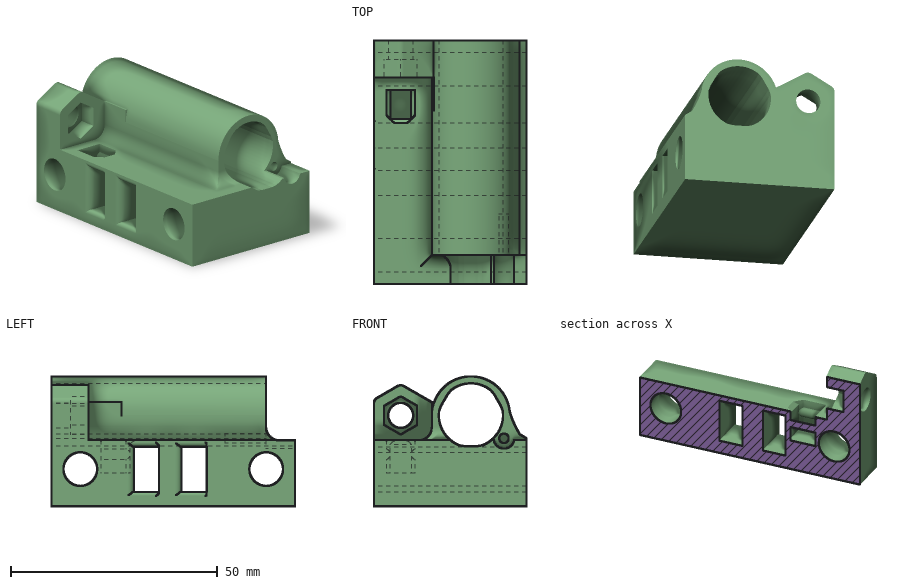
import cadquery as cq
import math

WIDTH = 37.0
LENGTH = 59.0
BASE_HEIGHT = 16.0

TUBE_X = 23.5
AXIS_Z = 22.0
TUBE_RADIUS = 9.47
TUBE_FRONT_Y = 7.0
TUBE_LEFT_X = TUBE_X - TUBE_RADIUS
BORE_RADIUS = 7.75

RIB_FLAT_DISTANCE = 7.41
RIB_FLAT_HALF = 1.6
RIB_OUTER_HALF = 2.9
RIB_ANGLES = (0, 120, 240)

SKIRT_RADIUS = 3.1

WEB_START_ANGLE = math.radians(5)
WEB_MID_X = 33.85
WEB_MID_Z = 20.3
WEB_END_X = 35.3
WEB_END_Z = 17.5
WEB_EDGE_Z = 16.4

NUT_X = 6.5
NUT_BLOCK_START_Y = 50.0
NUT_BLOCK_APEX_RISE = 7.55
NUT_BLOCK_ROUNDING = 1.5
HEX_TURN = 30.0
ROOF_SLOPE = math.tan(math.radians(HEX_TURN))
NUT_CIRCUMDIAMETER = 9.26
NUT_DEPTH = 4.4
ROD_DIAMETER = 6.0
FILL_START_Y = 42.0

PIN_X = 31.5
PIN_Z = 16.45
PIN_DIAMETER = 2.3
PIN_DEPTH = 10.0
PIN_GROOVE_RADIUS = 2.5

CROSS_HOLE_DIAMETER = 8.1
CROSS_HOLE_Z = 9.0
CROSS_HOLE_INSET = 7.0
WINDOW_BOTTOM = 3.5
WINDOW_TOP = 14.4
WINDOW_SIDE_ROUNDING = 1.5
WINDOW_END_ROUNDING = 1.0
WINDOWS = ((33.0, 39.0, 0.65), (21.4, 27.5, 0.25))

POCKET_LEFT = 3.05
POCKET_RIGHT = 10.0
POCKET_FRONT = 39.0
POCKET_BACK = 47.0
POCKET_DEPTH = 8.0
POCKET_CORNER_CUT = 1.9
POCKET_FRONT_CHAMFER = 1.0
POCKET_BULGE = 0.95
POCKET_BULGE_TOP_DEPTH = 2.1
POCKET_BULGE_HEIGHT = 2.6

RIB_OVERLAP = 1.0


def along_y(profile, y_start, y_end):
    """Extrude a closed XZ profile, drawn on the XZ plane, between two Y positions."""
    return profile.extrude(-(y_end - y_start)).translate((0, y_start, 0))


def cylinder_y(x, z, radius, y_start, y_end):
    return along_y(cq.Workplane("XZ").center(x, z).circle(radius), y_start, y_end)


def cylinder_x(y, z, diameter):
    return cq.Workplane("YZ").center(y, z).circle(diameter / 2).extrude(WIDTH)


def box(x0, x1, y0, y1, z0, z1):
    return cq.Workplane("XY").box(x1 - x0, y1 - y0, z1 - z0, centered=False).translate((x0, y0, z0))


def skirt_profile(plane, foot, far):
    """Upright wall on the base with a concave quarter round running out at its foot."""
    wall = foot + SKIRT_RADIUS
    arc_reach = SKIRT_RADIUS * math.sqrt(0.5)
    return (
        cq.Workplane(plane)
        .moveTo(foot, 0)
        .lineTo(foot, BASE_HEIGHT)
        .threePointArc(
            (foot + arc_reach, BASE_HEIGHT + SKIRT_RADIUS - arc_reach),
            (wall, BASE_HEIGHT + SKIRT_RADIUS),
        )
        .lineTo(wall, AXIS_Z)
        .lineTo(far, AXIS_Z)
        .lineTo(far, 0)
        .close()
    )


def make_skirt():
    """Left and front skirts, mitred where they meet."""
    left = along_y(skirt_profile("XZ", TUBE_LEFT_X - SKIRT_RADIUS, TUBE_X), 0, LENGTH)
    front = skirt_profile("YZ", TUBE_FRONT_Y - SKIRT_RADIUS, LENGTH).extrude(WIDTH)
    return left.intersect(front)


def make_web():
    start = (
        TUBE_X + TUBE_RADIUS * math.cos(WEB_START_ANGLE),
        AXIS_Z + TUBE_RADIUS * math.sin(WEB_START_ANGLE),
    )
    profile = (
        cq.Workplane("XZ")
        .moveTo(TUBE_X, 0)
        .lineTo(TUBE_X, start[1])
        .lineTo(*start)
        .threePointArc((WEB_MID_X, WEB_MID_Z), (WEB_END_X, WEB_END_Z))
        .lineTo(WIDTH, WEB_EDGE_Z)
        .lineTo(WIDTH, 0)
        .close()
    )
    return along_y(profile, TUBE_FRONT_Y, LENGTH)


def make_nut_block():
    """Roofed block running into the tube, with a flat-topped fill in front of it."""
    apex_z = AXIS_Z + NUT_BLOCK_APEX_RISE
    left_z = apex_z - NUT_X * ROOF_SLOPE
    fill_z = apex_z - (TUBE_LEFT_X - NUT_X) * ROOF_SLOPE
    buried_z = apex_z - (TUBE_X - NUT_X) * ROOF_SLOPE
    outline = [(0, 0), (0, left_z), (NUT_X, apex_z), (TUBE_X, buried_z), (TUBE_X, 0)]
    block = along_y(cq.Workplane("XZ").polyline(outline).close(), NUT_BLOCK_START_Y, LENGTH)
    for x, z in ((0, left_z), (NUT_X, apex_z)):
        edge = cq.selectors.NearestToPointSelector((x, (NUT_BLOCK_START_Y + LENGTH) / 2, z))
        block = block.edges(edge).fillet(NUT_BLOCK_ROUNDING)
    fill = box(TUBE_LEFT_X, TUBE_X, FILL_START_Y, NUT_BLOCK_START_Y, 0, fill_z)
    return block.union(fill)


def make_rib(angle):
    """Flat-topped filler between the bore wall and a bearing flat, turned about the bore axis."""
    foot = math.sqrt(BORE_RADIUS**2 - RIB_OUTER_HALF**2)
    buried = BORE_RADIUS + RIB_OVERLAP
    outline = [
        (-RIB_OUTER_HALF, -foot),
        (-RIB_FLAT_HALF, -RIB_FLAT_DISTANCE),
        (RIB_FLAT_HALF, -RIB_FLAT_DISTANCE),
        (RIB_OUTER_HALF, -foot),
        (RIB_OUTER_HALF, -buried),
        (-RIB_OUTER_HALF, -buried),
    ]
    rib = along_y(cq.Workplane("XZ").polyline(outline).close(), 0, LENGTH)
    return rib.rotate((0, 0, 0), (0, 1, 0), angle).translate((TUBE_X, 0, AXIS_Z))


def make_bore():
    bore = cylinder_y(TUBE_X, AXIS_Z, BORE_RADIUS, 0, LENGTH)
    for angle in RIB_ANGLES:
        bore = bore.cut(make_rib(angle))
    return bore


def rounded_mouth(plane, low, high, low_rounding, high_rounding):
    """Slot outline along X whose mouth at x = 0 widens with convex quarter rounds."""
    arc_part = 1 - math.sqrt(0.5)
    outline = cq.Workplane(plane).moveTo(WIDTH, low)
    if low_rounding:
        outline = outline.lineTo(low_rounding, low).threePointArc(
            (low_rounding * arc_part, low - low_rounding * arc_part), (0, low - low_rounding)
        )
    else:
        outline = outline.lineTo(0, low)
    outline = outline.lineTo(0, high + high_rounding).threePointArc(
        (high_rounding * arc_part, high + high_rounding * arc_part), (high_rounding, high)
    )
    return outline.lineTo(WIDTH, high).close()


def make_window(front, back, corner_cut):
    plan = rounded_mouth("XY", front, back, 0, WINDOW_SIDE_ROUNDING).extrude(BASE_HEIGHT)
    side = along_y(
        rounded_mouth("XZ", WINDOW_BOTTOM, WINDOW_TOP, WINDOW_END_ROUNDING, WINDOW_END_ROUNDING),
        0,
        LENGTH,
    )
    mouth = box(
        0,
        WIDTH,
        front,
        back + WINDOW_SIDE_ROUNDING,
        WINDOW_BOTTOM - WINDOW_END_ROUNDING,
        WINDOW_TOP + WINDOW_END_ROUNDING,
    )
    mouth = mouth.edges("|X and <Y").chamfer(corner_cut)
    return plan.intersect(side).intersect(mouth)


def make_pocket():
    """Pocket with cut front corners, a chamfered front edge and a bulge along each side wall."""
    floor = BASE_HEIGHT - POCKET_DEPTH
    pocket = box(POCKET_LEFT, POCKET_RIGHT, POCKET_FRONT, POCKET_BACK, floor, BASE_HEIGHT)
    pocket = pocket.edges("|Z and <Y").chamfer(POCKET_CORNER_CUT)

    ledge_y = POCKET_FRONT + POCKET_FRONT_CHAMFER
    slope = [
        (POCKET_FRONT, BASE_HEIGHT),
        (ledge_y, BASE_HEIGHT - POCKET_FRONT_CHAMFER),
        (ledge_y, floor),
        (POCKET_FRONT, floor),
    ]
    pocket = pocket.cut(cq.Workplane("YZ").polyline(slope).close().extrude(WIDTH))

    bulge_top = BASE_HEIGHT - POCKET_BULGE_TOP_DEPTH
    bulge_bottom = bulge_top - POCKET_BULGE_HEIGHT
    bulge_middle = (bulge_top + bulge_bottom) / 2
    for wall, inward in ((POCKET_LEFT, 1), (POCKET_RIGHT, -1)):
        bulge = (
            cq.Workplane("XZ")
            .moveTo(wall, bulge_top)
            .threePointArc((wall + inward * POCKET_BULGE, bulge_middle), (wall, bulge_bottom))
            .close()
        )
        pocket = pocket.cut(along_y(bulge, POCKET_FRONT, POCKET_BACK))
    return pocket


def make_nut_trap():
    rod = cylinder_y(NUT_X, AXIS_Z, ROD_DIAMETER / 2, NUT_BLOCK_START_Y, LENGTH)
    hexagon = cq.Workplane("XZ").polygon(6, NUT_CIRCUMDIAMETER)
    nut = along_y(hexagon, NUT_BLOCK_START_Y, NUT_BLOCK_START_Y + NUT_DEPTH)
    nut = nut.rotate((0, 0, 0), (0, 1, 0), HEX_TURN).translate((NUT_X, 0, AXIS_Z))
    return rod.union(nut)


body = box(0, WIDTH, 0, LENGTH, 0, BASE_HEIGHT)
body = body.union(make_skirt())
body = body.union(make_web())
body = body.union(cylinder_y(TUBE_X, AXIS_Z, TUBE_RADIUS, TUBE_FRONT_Y, LENGTH))
body = body.union(make_nut_block())

body = body.cut(make_bore())
body = body.cut(make_nut_trap())
body = body.cut(cylinder_y(PIN_X, PIN_Z, PIN_GROOVE_RADIUS, 0, TUBE_FRONT_Y))
body = body.cut(cylinder_y(PIN_X, PIN_Z, PIN_DIAMETER / 2, TUBE_FRONT_Y, TUBE_FRONT_Y + PIN_DEPTH))
for hole_y in (CROSS_HOLE_INSET, LENGTH - CROSS_HOLE_INSET):
    body = body.cut(cylinder_x(hole_y, CROSS_HOLE_Z, CROSS_HOLE_DIAMETER))
for window in WINDOWS:
    body = body.cut(make_window(*window))
body = body.cut(make_pocket())

result = body